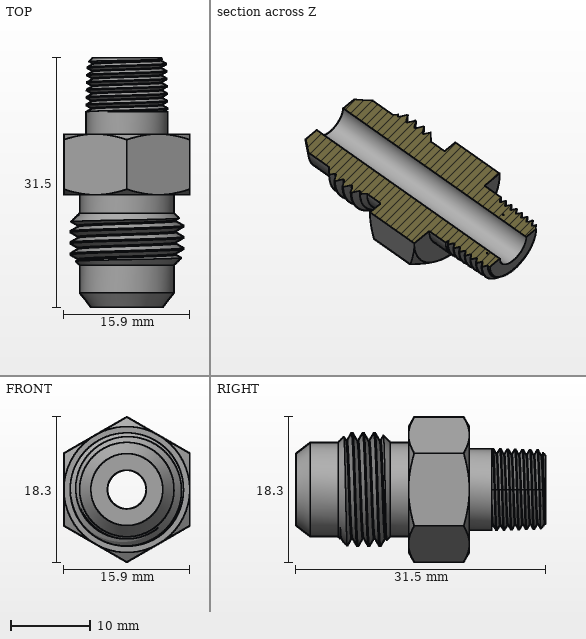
import cadquery as cq
import math

total_length = 31.5
flare_cone_end = 1.83
flare_thread_start = 5.32
flare_thread_end = 11.9
hex_start = 14.2
hex_end = 21.85
pipe_thread_start = 24.7

bore_diameter = 4.85
flare_tip_radius = 4.55
neck_radius = 5.95
hex_across_flats = 15.88
hex_chamfer_angle = 30.0
hex_corner_radius = hex_across_flats / math.sqrt(3)

reference_length = 25.4

flare_crest_radius = 7.15
flare_pitch = reference_length / 18
flare_groove_start = 3.9

pipe_shoulder_radius = 5.17
pipe_end_radius = 4.28
pipe_pitch = reference_length / 27
pipe_taper = 1 / 32
pipe_groove_start = 23.65

flank_slope = math.tan(math.radians(30))
flat_ratio = 1 / 8
depth_ratio = (1 - 2 * flat_ratio) / (2 * flank_slope)
overshoot_ratio = 1 / 16


def revolve_about_y(points):
    """Solid of revolution from a closed (radius, Y) outline."""
    solid = cq.Workplane("XY").polyline(points).close().revolve(360, (0, 0, 0), (0, 1, 0))
    return solid.rotate((0, 0, 0), (0, 1, 0), -90)


def helix_turn(pitch, radius, offset, taper):
    """One right-hand turn along +Z from the given radius and offset, on a cylinder or a cone."""
    start = cq.Vector(0, 0, offset)
    if taper:
        taper_angle = math.degrees(math.atan(taper))
        return cq.Wire.makeHelix(pitch, pitch, radius, start, angle=-taper_angle).Edges()[0]
    return cq.Wire.makeHelix(pitch, pitch, radius, start).Edges()[0]


def groove_turn(pitch, crest_radius, taper):
    """Cutter for one turn of the thread groove, starting at +X on the plane Y = 0."""
    depth = depth_ratio * pitch
    overshoot = overshoot_ratio * pitch
    root_radius = crest_radius - depth
    outer_radius = crest_radius + overshoot
    half_root = flat_ratio * pitch / 2
    half_outer = half_root + (depth + overshoot) * flank_slope
    corners = [
        (root_radius, -half_root),
        (outer_radius, -half_outer),
        (outer_radius, half_outer),
        (root_radius, half_root),
    ]
    edges = [helix_turn(pitch, radius, offset, taper) for radius, offset in corners]
    faces = [cq.Face.makeRuledSurface(edges[i - 1], edges[i]) for i in range(len(edges))]
    for end in (0, 1):
        outline = cq.Wire.makePolygon([edge.positionAt(end) for edge in edges], close=True)
        faces.append(cq.Face.makeFromWires(outline))
    turn = cq.Workplane(obj=cq.Solid.makeSolid(cq.Shell.makeShell(faces)))
    return turn.rotate((0, 0, 0), (1, 0, 0), -90)


def cut_thread(blank, pitch, crest_radius, start_y, end_y, taper=0.0):
    """Cut the groove turn by turn along +Y; crest_radius applies at start_y."""
    for turn in range(math.ceil((end_y - start_y) / pitch)):
        advance = turn * pitch
        cutter = groove_turn(pitch, crest_radius - taper * advance, taper)
        blank = blank.cut(cutter.translate((0, start_y + advance, 0)), clean=False)
    return blank


def flare_end():
    """Coned nose, threaded band with 45 degree ends, and neck up to the hexagon."""
    chamfer = flare_crest_radius - neck_radius
    body = revolve_about_y([
        (0, 0),
        (flare_tip_radius, 0),
        (neck_radius, flare_cone_end),
        (neck_radius, flare_thread_start),
        (flare_crest_radius, flare_thread_start + chamfer),
        (flare_crest_radius, flare_thread_end - chamfer),
        (neck_radius, flare_thread_end),
        (neck_radius, hex_start),
        (0, hex_start),
    ])
    groove_end = flare_thread_end + flare_pitch / 2
    return cut_thread(body, flare_pitch, flare_crest_radius, flare_groove_start, groove_end)


def hexagon():
    """Hexagon with corners at +Z and -Z, its corners coned off at both faces."""
    width = hex_end - hex_start
    flat_radius = hex_across_flats / 2
    chamfer = (hex_corner_radius - flat_radius) * math.tan(math.radians(hex_chamfer_angle))
    prism = (
        cq.Workplane("XZ", origin=(0, hex_end, 0))
        .transformed(rotate=(0, 0, 90))
        .polygon(6, 2 * hex_corner_radius)
        .extrude(width)
    )
    envelope = revolve_about_y([
        (0, hex_start),
        (flat_radius, hex_start),
        (hex_corner_radius, hex_start + chamfer),
        (hex_corner_radius, hex_end - chamfer),
        (flat_radius, hex_end),
        (0, hex_end),
    ])
    return prism.intersect(envelope)


def pipe_end():
    """Plain shoulder followed by the tapered thread, chamfered at the open end."""
    shoulder = revolve_about_y([
        (0, hex_end),
        (pipe_shoulder_radius, hex_end),
        (pipe_shoulder_radius, pipe_thread_start),
        (0, pipe_thread_start),
    ])
    thread_length = total_length - pipe_thread_start
    small_radius = pipe_shoulder_radius - pipe_taper * thread_length
    chamfer = (small_radius - pipe_end_radius) / (1 - pipe_taper)
    blank = revolve_about_y([
        (0, pipe_thread_start),
        (pipe_shoulder_radius, pipe_thread_start),
        (pipe_end_radius + chamfer, total_length - chamfer),
        (pipe_end_radius, total_length),
        (0, total_length),
    ])
    crest_radius = pipe_shoulder_radius - pipe_taper * (pipe_groove_start - pipe_thread_start)
    groove_end = total_length + pipe_pitch
    thread = cut_thread(blank, pipe_pitch, crest_radius, pipe_groove_start, groove_end, pipe_taper)
    return shoulder.union(thread, clean=False)


bore = cq.Workplane("XZ").circle(bore_diameter / 2).extrude(-total_length)

result = flare_end().union(hexagon()).union(pipe_end()).cut(bore)